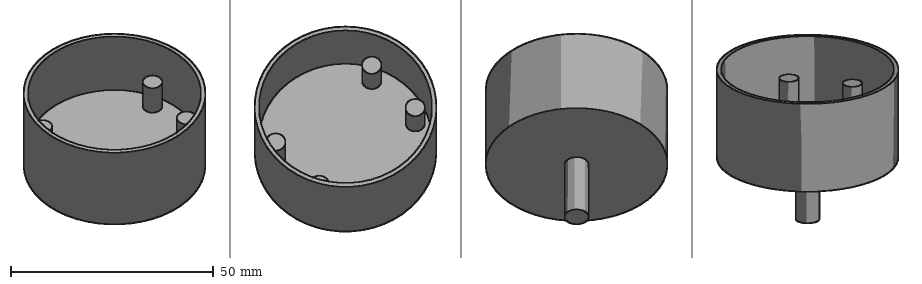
import cadquery as cq

cup_diameter = 45.0
bore_diameter = 42.8
cup_height = 23.5
cup_depth = 17.5
floor_thickness = cup_height - cup_depth

stem_diameter = 5.95
stem_length = 16.5

pin_diameter = 4.8
pin_height = 8.0
pin_spacing_x = 16.0
pin_spacing_y = 2 * pin_spacing_x


def make_cup():
    """Open-topped cup with its underside at Z = 0."""
    body = cq.Workplane("XY").circle(cup_diameter / 2).extrude(cup_height)
    bore = (
        cq.Workplane("XY", origin=(0, 0, floor_thickness))
        .circle(bore_diameter / 2)
        .extrude(cup_depth)
    )
    return body.cut(bore)


def make_stem():
    """Central stem hanging from the underside of the cup."""
    return cq.Workplane("XY").circle(stem_diameter / 2).extrude(-stem_length)


def make_pins():
    """Pins at the corners of a rectangle centred on the floor."""
    return (
        cq.Workplane("XY", origin=(0, 0, floor_thickness))
        .rect(pin_spacing_x, pin_spacing_y, forConstruction=True)
        .vertices()
        .circle(pin_diameter / 2)
        .extrude(pin_height)
    )


result = make_cup().union(make_stem()).union(make_pins())